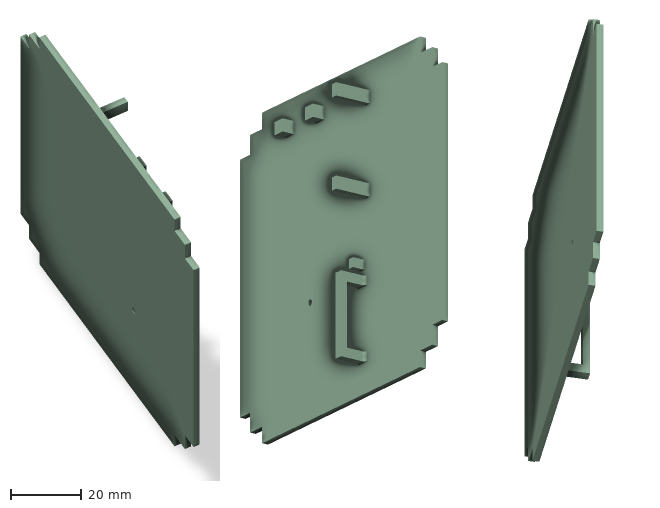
import cadquery as cq

PLATE_SIZE = 100.0
PLATE_THICKNESS = 2.0
HALF_PLATE = PLATE_SIZE / 2
CORNER_CUT = 11.0
CORNER_STEP = 5.0

HOLE_DIAMETER = 2.0
HOLE_X = 15.5
HOLE_Z = -14.5

TAB_WIDTH = 2.0
TAB_LENGTH = 4.0
TAB_HEIGHT = 11.8
TAB_X = -13.3
TAB_CENTERS_Z = (39.0, 10.8)

PEG_SIZE = 4.0
PEG_HEIGHT = 4.0
PEG_CENTERS_X = (10.25, 25.25)
PEG_Z = 40.8

STOP_WIDTH = 2.0
STOP_LENGTH = 3.0
STOP_HEIGHT = 4.0
STOP_Z = -11.0

HANDLE_X = -10.62
HANDLE_WIDTH = 2.8
HANDLE_HEIGHT = 8.5
HANDLE_BAR = 2.0
HANDLE_TOP_Z = -14.5
HANDLE_BOTTOM_Z = -40.5
LEG_LENGTH = 3.0
FOOT_FLARE = 0.8
FOOT_HEIGHT = 1.0


def block(x_center, z_center, x_size, z_size, height, base_y=PLATE_THICKNESS):
    """Rectangular block rising along +Y, by default from the back face of the plate."""
    body = cq.Workplane("XY").box(x_size, height, z_size, centered=(True, False, True))
    return body.translate((x_center, base_y, z_center))


def make_plate():
    """Square plate with a two-step notch in every corner and one through hole."""
    plate = block(0, 0, PLATE_SIZE, PLATE_SIZE, PLATE_THICKNESS, base_y=0)
    notch_sizes = ((CORNER_CUT, CORNER_STEP), (CORNER_STEP, CORNER_CUT))
    for x_side in (-1, 1):
        for z_side in (-1, 1):
            for x_size, z_size in notch_sizes:
                x_center = x_side * (HALF_PLATE - x_size / 2)
                z_center = z_side * (HALF_PLATE - z_size / 2)
                notch = block(x_center, z_center, x_size, z_size, PLATE_THICKNESS, base_y=0)
                plate = plate.cut(notch)
    hole = cq.Workplane("XZ").center(HOLE_X, HOLE_Z).circle(HOLE_DIAMETER / 2).extrude(-PLATE_THICKNESS)
    return plate.cut(hole)


def make_foot(z_center):
    """Trapezoidal foot that widens along X towards the plate."""
    half_top = HANDLE_WIDTH / 2
    half_base = half_top + FOOT_FLARE
    foot_top_y = PLATE_THICKNESS + FOOT_HEIGHT
    outline = [
        (HANDLE_X - half_base, PLATE_THICKNESS),
        (HANDLE_X + half_base, PLATE_THICKNESS),
        (HANDLE_X + half_top, foot_top_y),
        (HANDLE_X - half_top, foot_top_y),
    ]
    foot = cq.Workplane("XY").polyline(outline).close().extrude(LEG_LENGTH)
    return foot.translate((0, 0, z_center - LEG_LENGTH / 2))


def make_handle():
    """U-shaped handle: a bar on two legs, each leg with a flared foot."""
    length = HANDLE_TOP_Z - HANDLE_BOTTOM_Z
    z_center = (HANDLE_TOP_Z + HANDLE_BOTTOM_Z) / 2
    handle = block(HANDLE_X, z_center, HANDLE_WIDTH, length, HANDLE_HEIGHT)
    opening_length = length - 2 * LEG_LENGTH
    opening = block(HANDLE_X, z_center, HANDLE_WIDTH, opening_length, HANDLE_HEIGHT - HANDLE_BAR)
    handle = handle.cut(opening)
    for leg_z in (HANDLE_TOP_Z - LEG_LENGTH / 2, HANDLE_BOTTOM_Z + LEG_LENGTH / 2):
        handle = handle.union(make_foot(leg_z))
    return handle


result = make_plate()
for tab_z in TAB_CENTERS_Z:
    result = result.union(block(TAB_X, tab_z, TAB_WIDTH, TAB_LENGTH, TAB_HEIGHT))
for peg_x in PEG_CENTERS_X:
    result = result.union(block(peg_x, PEG_Z, PEG_SIZE, PEG_SIZE, PEG_HEIGHT))
result = result.union(block(HANDLE_X, STOP_Z, STOP_WIDTH, STOP_LENGTH, STOP_HEIGHT))
result = result.union(make_handle())